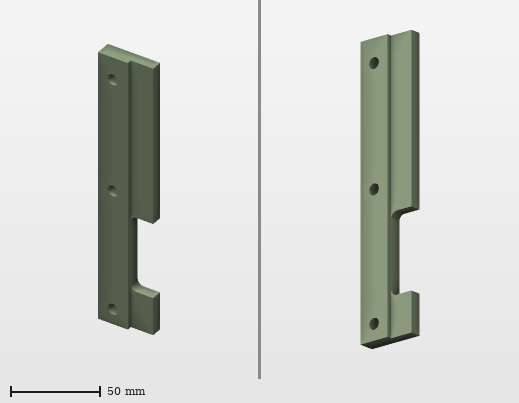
import cadquery as cq

length = 180.0
width = 35.0
thickness = 10.0

rail_width = 20.0
flange_thickness = 7.0
step_depth = thickness - flange_thickness

notch_bottom = 25.0
notch_top = 75.0
notch_radius = 4.0

hole_diameter = 7.0
hole_heights = [10.0, 90.0, 165.0]


def block(x_min, x_max, y_min, y_max, z_min, z_max):
    """Axis-aligned box between two opposite corners."""
    size = (x_max - x_min, y_max - y_min, z_max - z_min)
    return cq.Workplane("XY").box(*size, centered=False).translate((x_min, y_min, z_min))


def make_notch():
    """Cutter open at the flange edge, rounded where it meets the rail."""
    cutter = block(rail_width, width, 0, thickness, notch_bottom, notch_top)
    return cutter.edges("|Y and <X").fillet(notch_radius)


def make_holes():
    """Through holes along Y."""
    centres = [(rail_width / 2, height) for height in hole_heights]
    return (
        cq.Workplane("XZ")
        .pushPoints(centres)
        .circle(hole_diameter / 2)
        .extrude(-thickness)
    )


rail = block(0, rail_width, 0, thickness, 0, length)
flange = block(rail_width, width, step_depth, thickness, 0, length)
result = rail.union(flange).cut(make_notch()).cut(make_holes())